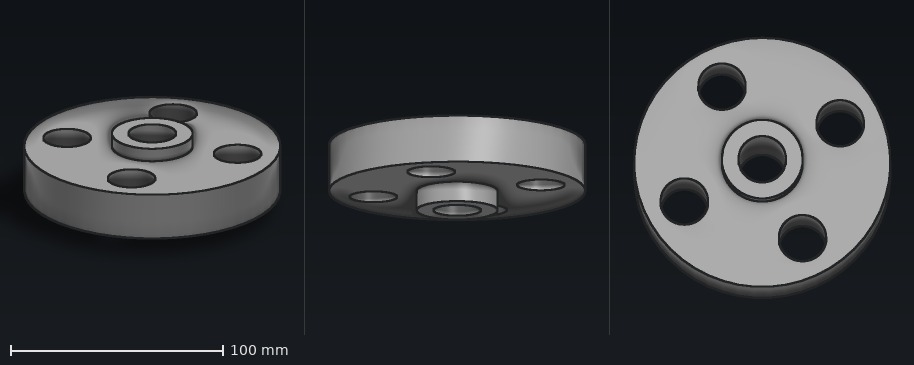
import cadquery as cq

flange_diameter = 120.65
flange_thickness = 22.35

hub_diameter = 38.1
overall_height = 38.1
top_hub_height = 6.35
bottom_hub_height = overall_height - flange_thickness - top_hub_height
bore_diameter = 22.35

bolt_hole_count = 4
bolt_hole_diameter = 22.35
bolt_circle_diameter = 82.55
first_bolt_angle = 45


def make_body():
    """Disc and hub, with the bottom of the hub at Z = 0."""
    hub = cq.Workplane("XY").circle(hub_diameter / 2).extrude(overall_height)
    disc = (
        cq.Workplane("XY")
        .workplane(offset=bottom_hub_height)
        .circle(flange_diameter / 2)
        .extrude(flange_thickness)
    )
    return disc.union(hub)


def make_bore():
    """Through bore along the hub axis."""
    return cq.Workplane("XY").circle(bore_diameter / 2).extrude(overall_height)


def make_bolt_holes():
    """Ring of through holes around the hub."""
    return (
        cq.Workplane("XY")
        .polarArray(bolt_circle_diameter / 2, first_bolt_angle, 360, bolt_hole_count)
        .circle(bolt_hole_diameter / 2)
        .extrude(overall_height)
    )


result = make_body().cut(make_bore()).cut(make_bolt_holes())